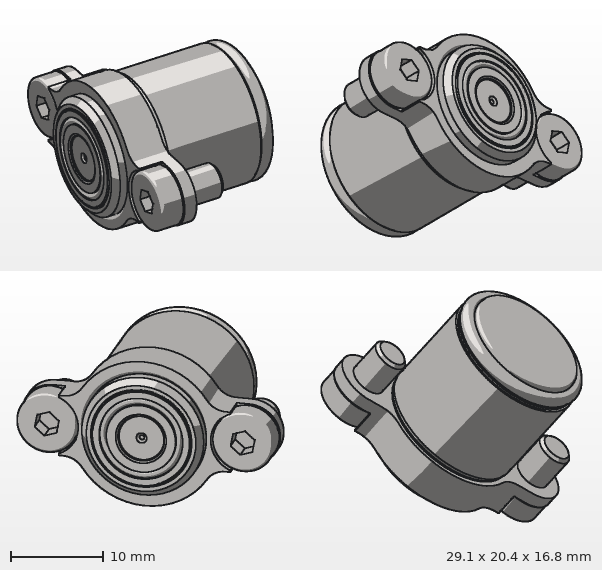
import cadquery as cq
import math


overall_length = 29.05
flange_radius = 8.42
flange_thickness = 4.4
ear_offset = 11.0
ear_radius = overall_length / 2 - ear_offset
ear_blend_radius = 2.5
mouth_round = 0.45

pocket_floor_y = -1.5
pocket_radius = 3.57
pocket_shoulder_x = 9.65

head_radius = 3.43
head_front_y = -4.27
head_round = 0.35
head_under_chamfer = 0.15
shank_radius = 2.0
shank_end_y = 4.47
shank_chamfer = 0.38
socket_across_flats = 2.5
socket_depth = 2.0
socket_angle = 19.0

barrel_radius = 8.0
front_neck_radius = 7.85
front_taper_start_y = 0.17
front_taper_end_y = 0.6
barrel_end_y = 12.03
rear_step_radius = 7.73
rear_step_end_y = 12.3

seal_section_radius = 0.8
seal_center_radius = barrel_radius - seal_section_radius
seal_center_y = rear_step_end_y + seal_section_radius
cap_radius = 6.75
cap_end_y = 14.4
cap_round = 0.38

nose_radius = 6.85
nose_face_y = -5.8
nose_chamfer = 0.7

insert_radius = 5.45
insert_face_y = -5.9
insert_gap = 0.2
insert_gap_depth = 0.2
face_ring_inner_radius = 3.9
face_ring_outer_radius = 4.7
face_ring_crest_y = -5.98
recess_radius = 2.85
recess_lip_radius = 2.6
recess_lip_depth = 0.12
recess_depth = 0.25
contact_radius = 2.53
dimple_radius = 0.58
dimple_floor_radius = 0.25
dimple_depth = 0.2


def cylinder(radius, y_start, y_end, x=0.0):
    """Cylinder along Y between two stations."""
    return cq.Workplane("XZ", origin=(x, y_end, 0)).circle(radius).extrude(y_end - y_start)


def revolve_profile(points):
    """Closed (radius, y) outline turned about the Y axis."""
    return cq.Workplane("XY").polyline(points).close().revolve(360, (0, 0, 0), (0, 1, 0))


def torus(center_radius, section_radius, y):
    """Ring of round section about the Y axis."""
    plane = cq.Workplane("XY", origin=(center_radius, y, 0)).transformed(rotate=(0, 0, 180))
    section = plane.circle(section_radius)
    return section.revolve(360, (center_radius, 0, 0), (center_radius, 1, 0))


def make_flange():
    """Round plate whose two ears run into it through tangent fillets."""
    blend_z = ear_radius + ear_blend_radius
    blend_reach = flange_radius + ear_blend_radius
    blend_x = math.sqrt(blend_reach**2 - blend_z**2)
    disc_x = blend_x * flange_radius / blend_reach
    disc_z = blend_z * flange_radius / blend_reach

    blend_angle = (math.atan2(blend_z, blend_x) + math.pi / 2) / 2
    mid_x = blend_x - ear_blend_radius * math.cos(blend_angle)
    mid_z = blend_z - ear_blend_radius * math.sin(blend_angle)

    outline = (
        cq.Workplane("XZ")
        .moveTo(-disc_x, disc_z)
        .threePointArc((0, flange_radius), (disc_x, disc_z))
        .threePointArc((mid_x, mid_z), (blend_x, ear_radius))
        .lineTo(ear_offset, ear_radius)
        .threePointArc((ear_offset + ear_radius, 0), (ear_offset, -ear_radius))
        .lineTo(blend_x, -ear_radius)
        .threePointArc((mid_x, -mid_z), (disc_x, -disc_z))
        .threePointArc((0, -flange_radius), (-disc_x, -disc_z))
        .threePointArc((-mid_x, -mid_z), (-blend_x, -ear_radius))
        .lineTo(-ear_offset, -ear_radius)
        .threePointArc((-ear_offset - ear_radius, 0), (-ear_offset, ear_radius))
        .lineTo(-blend_x, ear_radius)
        .threePointArc((-mid_x, mid_z), (-disc_x, disc_z))
        .close()
    )
    flange = outline.extrude(flange_thickness)
    return flange.cut(make_rounded_mouth())


def make_rounded_mouth():
    """Bore for the nose, its front rim rounded over a quarter circle."""
    round_end_y = mouth_round - flange_thickness
    arc_inset = mouth_round * (1 - math.cos(math.pi / 4))
    bore_outline = (
        cq.Workplane("XY")
        .moveTo(0, -flange_thickness)
        .lineTo(nose_radius + mouth_round, -flange_thickness)
        .threePointArc((nose_radius + arc_inset, arc_inset - flange_thickness), (nose_radius, round_end_y))
        .lineTo(nose_radius, 0)
        .lineTo(0, 0)
        .close()
    )
    return bore_outline.revolve(360, (0, 0, 0), (0, 1, 0))


def make_head_pocket(side):
    """Clearance for a screw head, open to the outer end of the ear."""
    pocket = cylinder(pocket_radius, -flange_thickness, pocket_floor_y, side * ear_offset)
    open_length = overall_length / 2 - pocket_shoulder_x
    depth = flange_thickness + pocket_floor_y
    opening = cq.Workplane("XY").box(open_length, depth, 2 * pocket_radius).translate(
        (side * (pocket_shoulder_x + open_length / 2), pocket_floor_y - depth / 2, 0)
    )
    return pocket.union(opening)


def make_screw(side):
    """Socket head cap screw seated in one ear."""
    x = side * ear_offset
    head = (
        cylinder(head_radius, head_front_y, pocket_floor_y, x)
        .faces("<Y").edges().fillet(head_round)
        .faces(">Y").edges().chamfer(head_under_chamfer)
    )
    shank = cylinder(shank_radius, pocket_floor_y, shank_end_y, x).faces(">Y").edges().chamfer(shank_chamfer)
    socket_diameter = socket_across_flats / math.cos(math.pi / 6)
    socket = (
        cq.Workplane("XZ", origin=(x, head_front_y + socket_depth, 0))
        .transformed(rotate=(0, 0, socket_angle))
        .polygon(6, socket_diameter)
        .extrude(socket_depth)
    )
    return head.union(shank).cut(socket)


def make_barrel():
    """Barrel, nose and rear cap turned as one body, with the rear sealing ring."""
    body = revolve_profile([
        (0, nose_face_y),
        (nose_radius - nose_chamfer, nose_face_y),
        (nose_radius, nose_face_y + nose_chamfer),
        (nose_radius, 0),
        (front_neck_radius, 0),
        (front_neck_radius, front_taper_start_y),
        (barrel_radius, front_taper_end_y),
        (barrel_radius, barrel_end_y),
        (rear_step_radius, barrel_end_y),
        (rear_step_radius, rear_step_end_y),
        (cap_radius, rear_step_end_y),
        (cap_radius, cap_end_y),
        (0, cap_end_y),
    ]).faces(">Y").edges().fillet(cap_round)
    return body.union(torus(seal_center_radius, seal_section_radius, seal_center_y))


def add_nose_face(barrel):
    """Insert, face ring and recessed contact on the front of the nose."""
    gap_floor_y = nose_face_y + insert_gap_depth
    gap = cylinder(insert_radius + insert_gap, nose_face_y, gap_floor_y)
    insert = cylinder(insert_radius, insert_face_y, gap_floor_y)

    ring_section = (face_ring_outer_radius - face_ring_inner_radius) / 2
    ring_center = face_ring_inner_radius + ring_section
    ring = torus(ring_center, ring_section, face_ring_crest_y + ring_section)
    ring_groove = cylinder(face_ring_outer_radius, insert_face_y, face_ring_crest_y + ring_section).cut(
        cylinder(face_ring_inner_radius, insert_face_y, face_ring_crest_y + ring_section)
    )

    contact_face_y = insert_face_y + recess_depth
    recess = revolve_profile([
        (0, insert_face_y),
        (recess_radius, insert_face_y),
        (recess_lip_radius, insert_face_y + recess_lip_depth),
        (contact_radius, contact_face_y),
        (dimple_radius, contact_face_y),
        (dimple_floor_radius, contact_face_y + dimple_depth),
        (0, contact_face_y + dimple_depth),
    ])
    return barrel.cut(gap).union(insert).cut(ring_groove).union(ring).cut(recess)


result = make_flange()
for ear_side in (-1, 1):
    result = result.cut(make_head_pocket(ear_side))
    result = result.union(make_screw(ear_side))
result = result.union(add_nose_face(make_barrel()))